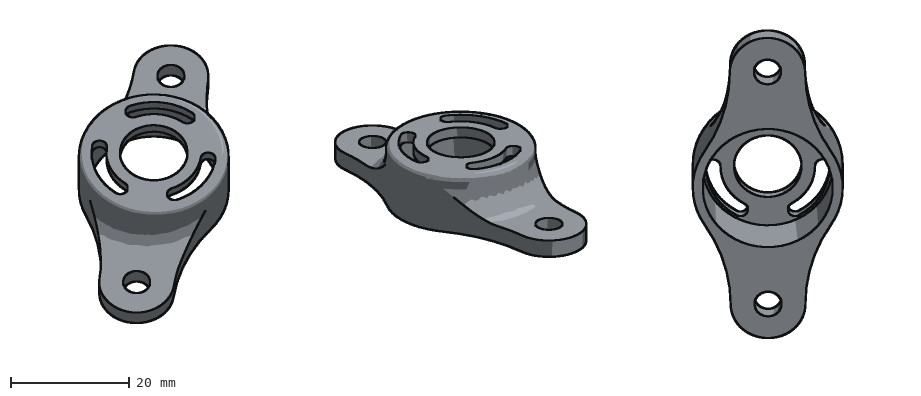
import cadquery as cq
import math

length = 50.1
height = 10.75

ear_angle = -30.0
ear_pitch_radius = 21.6
ear_thickness = 3.1
ear_hole_diameter = 4.55
ear_radius = length / 2 - ear_pitch_radius * math.cos(math.radians(ear_angle))

hub_radius = 25.4 / 2
rim_fillet = 1.25
cove_radius = 5.0
waist_radius = 27.05

bore_diameter = 11.4
cavity_diameter = 22.0
roof_thickness = 1.9
slot_mid_radius = 9.25
slot_width = 2.5
slot_half_angle = 30.0
slot_directions = (30.0, 150.0, 270.0)


def polar(radius, degrees):
    angle = math.radians(degrees)
    return (radius * math.cos(angle), radius * math.sin(angle))


def make_outline():
    """Plan of hub and ears, with waist arcs tangent to both; ears lie on X."""
    hub_distance = hub_radius + waist_radius
    ear_distance = ear_radius + waist_radius
    center_x = (hub_distance**2 - ear_distance**2 + ear_pitch_radius**2) / (2 * ear_pitch_radius)
    center_y = math.sqrt(hub_distance**2 - center_x**2)

    hub_x = center_x * hub_radius / hub_distance
    hub_y = center_y * hub_radius / hub_distance
    ear_x = ear_pitch_radius + (center_x - ear_pitch_radius) * ear_radius / ear_distance
    ear_y = center_y * ear_radius / ear_distance
    middle_angle = math.atan2(hub_y + ear_y - 2 * center_y, hub_x + ear_x - 2 * center_x)
    waist_x = center_x + waist_radius * math.cos(middle_angle)
    waist_y = center_y + waist_radius * math.sin(middle_angle)
    tip_x = ear_pitch_radius + ear_radius

    return (
        cq.Workplane("XY")
        .moveTo(hub_x, hub_y)
        .threePointArc((waist_x, waist_y), (ear_x, ear_y))
        .threePointArc((tip_x, 0), (ear_x, -ear_y))
        .threePointArc((waist_x, -waist_y), (hub_x, -hub_y))
        .threePointArc((0, -hub_radius), (-hub_x, -hub_y))
        .threePointArc((-waist_x, -waist_y), (-ear_x, -ear_y))
        .threePointArc((-tip_x, 0), (-ear_x, ear_y))
        .threePointArc((-waist_x, waist_y), (-hub_x, hub_y))
        .threePointArc((0, hub_radius), (hub_x, hub_y))
        .close()
    )


def make_envelope():
    """Revolved upper surface: rounded hub, concave cove and flat ears."""
    cove_top = ear_thickness + cove_radius
    cove_foot = hub_radius + cove_radius
    envelope_radius = ear_pitch_radius + 2 * ear_radius
    diagonal = cove_radius * math.sqrt(0.5)
    cove_middle = (cove_foot - diagonal, cove_top - diagonal)
    rim_inset = rim_fillet * (1 - math.sqrt(0.5))
    return (
        cq.Workplane("XZ")
        .lineTo(envelope_radius, 0)
        .lineTo(envelope_radius, ear_thickness)
        .lineTo(cove_foot, ear_thickness)
        .threePointArc(cove_middle, (hub_radius, cove_top))
        .lineTo(hub_radius, height - rim_fillet)
        .threePointArc(
            (hub_radius - rim_inset, height - rim_inset),
            (hub_radius - rim_fillet, height),
        )
        .lineTo(0, height)
        .close()
        .revolve(360, (0, 0, 0), (0, 1, 0))
    )


def make_slot(direction):
    """Curved slot with round ends, centred on the given direction."""
    inner = slot_mid_radius - slot_width / 2
    outer = slot_mid_radius + slot_width / 2
    start = direction - slot_half_angle
    end = direction + slot_half_angle
    tip_radius = math.hypot(slot_mid_radius, slot_width / 2)
    tip_angle = math.degrees(math.atan2(slot_width / 2, slot_mid_radius))
    return (
        cq.Workplane("XY")
        .moveTo(*polar(outer, start))
        .threePointArc(polar(outer, direction), polar(outer, end))
        .threePointArc(polar(tip_radius, end + tip_angle), polar(inner, end))
        .threePointArc(polar(inner, direction), polar(inner, start))
        .threePointArc(polar(tip_radius, start - tip_angle), polar(outer, start))
        .close()
        .extrude(height)
    )


body = make_outline().extrude(height).rotate((0, 0, 0), (0, 0, 1), ear_angle)
body = body.intersect(make_envelope())

bore = cq.Workplane("XY").circle(bore_diameter / 2).extrude(height)
cavity = cq.Workplane("XY").circle(cavity_diameter / 2).extrude(height - roof_thickness)
body = body.cut(bore).cut(cavity)

for slot_direction in slot_directions:
    body = body.cut(make_slot(slot_direction))

hole_centers = [polar(ear_pitch_radius, ear_angle), polar(ear_pitch_radius, ear_angle + 180)]
ear_holes = (
    cq.Workplane("XY").pushPoints(hole_centers).circle(ear_hole_diameter / 2).extrude(height)
)
result = body.cut(ear_holes)